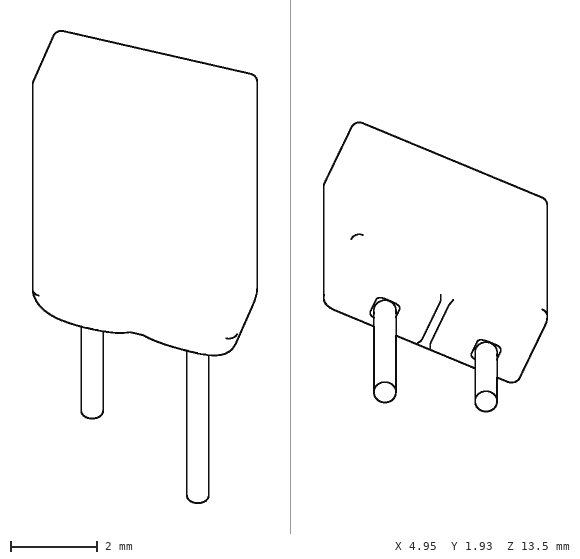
import cadquery as cq

body_width = 4.95
body_depth = 1.93
body_height = 7.0
edge_radius = 0.2

lobe_drop = 1.47
lobe_straight = 0.13
lobe_tip_half_width = 0.3
outer_bulge = (2.11, 1.01)
inner_bulge = (0.55, 1.27)
valley_half_width = 0.11
valley_drop = 0.9
side_bulge = (0.69, 0.84)
tip_half_depth = 0.27

lead_diameter = 0.51
lead_spacing = 2.56
short_lead_end = 4.46
long_lead_end = 6.47
lead_embed = 0.27

half_width = body_width / 2
half_depth = body_depth / 2
lead_x = lead_spacing / 2


def make_body():
    """Upright block above the rim, rounded on its upright corners and top."""
    block = cq.Workplane("XY").box(body_width, body_depth, body_height, centered=(True, True, False))
    return block.edges("|Z or >Z").fillet(edge_radius)


def make_lobes():
    """Double-lobed front outline trimmed by the tapering side outline."""
    tip_outer = lead_x + lobe_tip_half_width
    tip_inner = lead_x - lobe_tip_half_width
    front = (
        cq.Workplane("XZ")
        .moveTo(-half_width, 0)
        .lineTo(-half_width, -lobe_straight)
        .threePointArc((-outer_bulge[0], -outer_bulge[1]), (-tip_outer, -lobe_drop))
        .lineTo(-tip_inner, -lobe_drop)
        .threePointArc((-inner_bulge[0], -inner_bulge[1]), (-valley_half_width, -valley_drop))
        .lineTo(valley_half_width, -valley_drop)
        .threePointArc((inner_bulge[0], -inner_bulge[1]), (tip_inner, -lobe_drop))
        .lineTo(tip_outer, -lobe_drop)
        .threePointArc((outer_bulge[0], -outer_bulge[1]), (half_width, -lobe_straight))
        .lineTo(half_width, 0)
        .close()
        .extrude(half_depth, both=True)
    )
    side = (
        cq.Workplane("YZ")
        .moveTo(-half_depth, 0)
        .threePointArc((-side_bulge[0], -side_bulge[1]), (-tip_half_depth, -lobe_drop))
        .lineTo(tip_half_depth, -lobe_drop)
        .threePointArc((side_bulge[0], -side_bulge[1]), (half_depth, 0))
        .close()
        .extrude(half_width, both=True)
    )
    lobes = front.intersect(side)
    return lobes.edges("not (|Y or >Z or <Z)").fillet(edge_radius)


def make_lead(x, end_drop):
    """Straight round lead from inside a lobe down to its cut end."""
    top = lead_embed - lobe_drop
    return (
        cq.Workplane("XY", origin=(x, 0, -end_drop))
        .circle(lead_diameter / 2)
        .extrude(end_drop + top)
    )


result = (
    make_body()
    .union(make_lobes())
    .union(make_lead(-lead_x, short_lead_end))
    .union(make_lead(lead_x, long_lead_end))
)